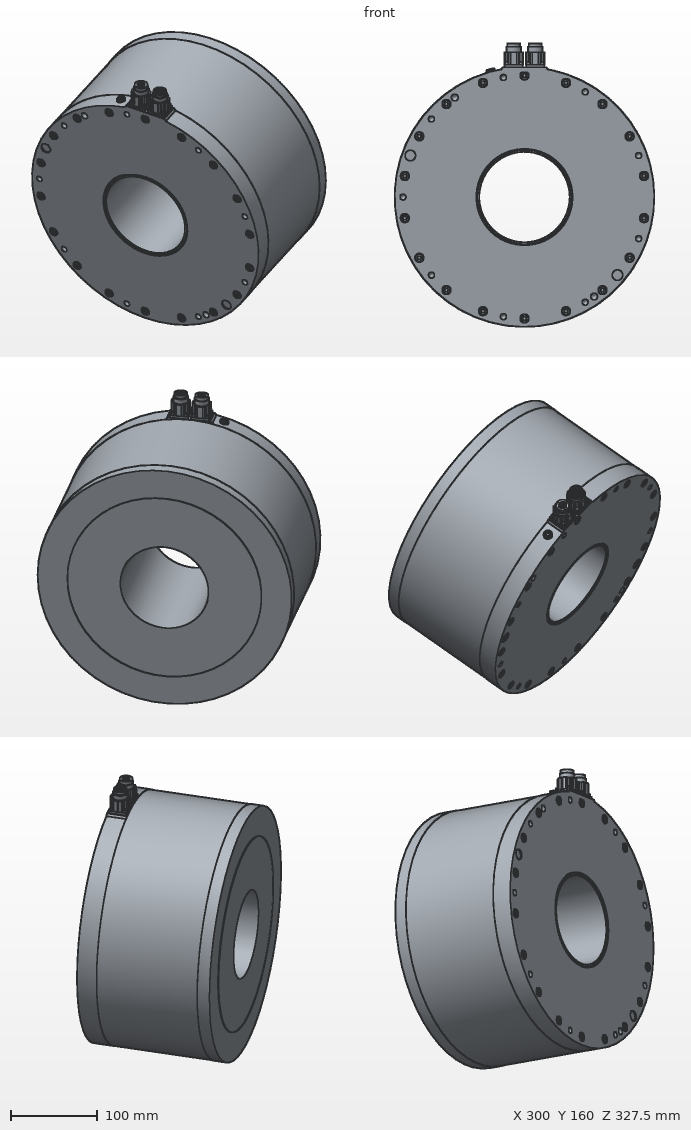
import cadquery as cq
import math

flange_radius = 150.0
body_radius = 149.7
flange_thickness = 23.5
cover_start = 144.5
cover_end = 159.2
total_depth = 160.0
rear_boss_radius = 114.5

bore_radius = 52.0
sleeve_recess_radius = 55.7
sleeve_recess_depth = 2.0
sleeve_radius = 54.5
sleeve_setback = 1.0

bolt_circle_radius = 140.2
screw_count = 18
counterbore_diameter = 10.0
counterbore_depth = 4.0
screw_head_diameter = 8.5
screw_head_setback = 0.5
socket_across_corners = 4.5
socket_depth = 2.3
tapped_count = 9
tapped_first_angle = 20.0
tapped_diameter = 7.0
dowel_angles = (125.0, -55.0)
dowel_diameter = 8.0
drill_depth = 9.8
drill_tip_angle = 118.0
round_recess_angles = (160.0, -40.0)
round_recess_diameter = 12.0
round_recess_depth = 1.5

rim_center_y = 12.5
rim_screw_angle = 105.0
rim_screw_diameter = 10.0
rim_screw_height = 3.0
rim_screw_bevel = 1.0

pad_half_width = 25.0
pad_bevel_width = 2.3
pad_bevel_height = 2.3
pad_root_z = 144.0

connector_offset = 12.5
connector_height = 27.5
base_width = 21.3
base_height = 3.0
nut_height = 17.5
nut_core_diameter = 18.5
nut_width = 22.0
nut_rib_width = 6.5
nut_side_width = 9.5
nut_groove_size = 1.0
nut_shoulder_length = 19.3
nut_shoulder_width = 11.0
corner_screw_diameter = 4.0
corner_screw_spacing = 15.7
corner_screw_height = 6.0
collar_diameter = 17.0
collar_height = 23.3
tip_diameter = 15.0
cavity_depth = 4.0
socket_cavity_diameter = 9.0
plug_cavity_diameter = 13.0
socket_pin_rings = ((4, 4.5),)
socket_pin_diameter = 1.5
plug_pin_rings = ((8, 8.5), (4, 4.0))
plug_pin_diameter = 1.0


def disc(radius, y_start, y_end):
    """Solid cylinder along Y between two depths."""
    return cq.Workplane("XZ", origin=(0, y_start, 0)).circle(radius).extrude(y_start - y_end)


def on_bolt_circle(angles):
    """X and Z of places on the bolt circle, with angles in degrees from +X."""
    return [
        (
            bolt_circle_radius * math.cos(math.radians(angle)),
            bolt_circle_radius * math.sin(math.radians(angle)),
        )
        for angle in angles
    ]


def face_cylinders(angles, diameter, y_start, y_end):
    """Cylinders along Y at the given bolt-circle angles."""
    plane = cq.Workplane("XZ", origin=(0, y_start, 0))
    return plane.pushPoints(on_bolt_circle(angles)).circle(diameter / 2).extrude(y_start - y_end)


def drilled_holes(angles, diameter):
    """Blind holes with a conical drill tip, as a cutting body."""
    radius = diameter / 2
    tip_length = radius / math.tan(math.radians(drill_tip_angle / 2))
    drill = (
        cq.Workplane("XY")
        .polyline([(0, 0), (radius, 0), (radius, drill_depth), (0, drill_depth + tip_length)])
        .close()
        .revolve(360, (0, 0, 0), (0, 1, 0))
    )
    holes = cq.Workplane("XY")
    for x, z in on_bolt_circle(angles):
        holes = holes.add(drill.translate((x, 0, z)))
    return holes.combine()


def make_housing():
    """Drum with front flange, rear cover, rear boss and through bore."""
    housing = (
        disc(flange_radius, 0, flange_thickness)
        .union(disc(body_radius, flange_thickness, cover_start))
        .union(disc(flange_radius, cover_start, cover_end))
        .union(disc(rear_boss_radius, cover_end, total_depth))
    )
    sleeve_end = disc(sleeve_radius, sleeve_setback, sleeve_recess_depth)
    return (
        housing.cut(disc(sleeve_recess_radius, 0, sleeve_recess_depth))
        .union(sleeve_end)
        .cut(disc(bore_radius, 0, total_depth))
    )


def cut_front_face(housing):
    """Add the recessed cap screws, drilled holes and round recesses."""
    screw_angles = [90 + i * 360 / screw_count for i in range(screw_count)]
    tapped_angles = [tapped_first_angle + i * 360 / tapped_count for i in range(tapped_count)]
    heads = face_cylinders(screw_angles, screw_head_diameter, screw_head_setback, counterbore_depth)
    sockets = (
        cq.Workplane("XZ", origin=(0, screw_head_setback, 0))
        .pushPoints(on_bolt_circle(screw_angles))
        .polygon(6, socket_across_corners)
        .extrude(-socket_depth)
    )
    return (
        housing.cut(face_cylinders(screw_angles, counterbore_diameter, 0, counterbore_depth))
        .union(heads)
        .cut(sockets)
        .cut(drilled_holes(tapped_angles, tapped_diameter))
        .cut(drilled_holes(dowel_angles, dowel_diameter))
        .cut(face_cylinders(round_recess_angles, round_recess_diameter, 0, round_recess_depth))
    )


def make_pad():
    """Flat pad with bevelled sides, tangent to the top of the flange."""
    foot_half_width = pad_half_width + pad_bevel_width
    foot_z = flange_radius - pad_bevel_height
    return (
        cq.Workplane("XZ")
        .moveTo(-pad_half_width, flange_radius)
        .lineTo(pad_half_width, flange_radius)
        .lineTo(foot_half_width, foot_z)
        .lineTo(foot_half_width, pad_root_z)
        .lineTo(-foot_half_width, pad_root_z)
        .lineTo(-foot_half_width, foot_z)
        .close()
        .extrude(-flange_thickness)
    )


def make_rim_screw():
    """Bevelled socket screw standing radially on the flange rim."""
    screw = (
        cq.Workplane("XY", origin=(0, 0, flange_radius - rim_screw_height))
        .circle(rim_screw_diameter / 2)
        .extrude(2 * rim_screw_height)
        .faces(">Z")
        .chamfer(rim_screw_bevel)
        .faces(">Z")
        .workplane()
        .polygon(6, socket_across_corners)
        .cutBlind(-socket_depth)
    )
    return screw.translate((0, rim_center_y, 0)).rotate((0, 0, 0), (0, 1, 0), 90 - rim_screw_angle)


def nut_block(x_size, y_size):
    """Box over the height of the connector nut."""
    nut_plane = cq.Workplane("XY", origin=(0, 0, base_height))
    return nut_plane.rect(x_size, y_size).extrude(nut_height - base_height)


def make_nut():
    """Round core with flat stepped ribs along Y and rounded, grooved ribs along X."""
    nut_plane = cq.Workplane("XY", origin=(0, 0, base_height))
    core = nut_plane.circle(nut_core_diameter / 2).extrude(nut_height - base_height)
    envelope = nut_plane.circle(nut_width / 2).extrude(nut_height - base_height)
    side_ribs = nut_block(nut_width, nut_side_width).intersect(envelope)
    groove_x = (nut_width - nut_groove_size) / 2
    for side in (-1, 1):
        groove = nut_block(nut_groove_size, nut_groove_size)
        side_ribs = side_ribs.cut(groove.translate((side * groove_x, 0, 0)))
    return (
        core.union(nut_block(nut_rib_width, nut_width))
        .union(nut_block(nut_shoulder_width, nut_shoulder_length))
        .union(nut_block(nut_shoulder_length, nut_shoulder_width))
        .union(side_ribs)
    )


def make_connector(cavity_diameter, pin_rings, pin_diameter):
    """Panel connector standing on Z = 0, with rings of pins in its open end."""
    base = cq.Workplane("XY").rect(base_width, base_width).extrude(base_height)
    corner_screws = (
        cq.Workplane("XY")
        .rect(corner_screw_spacing, corner_screw_spacing, forConstruction=True)
        .vertices()
        .circle(corner_screw_diameter / 2)
        .extrude(corner_screw_height)
    )
    nut = make_nut()
    collar = cq.Workplane("XY").circle(collar_diameter / 2).extrude(collar_height)
    tip = cq.Workplane("XY").circle(tip_diameter / 2).extrude(connector_height)

    cavity_floor = cq.Workplane("XY", origin=(0, 0, connector_height - cavity_depth))
    cavity = cavity_floor.circle(cavity_diameter / 2).extrude(cavity_depth)
    shell = base.union(corner_screws).union(nut).union(collar).union(tip)
    connector = shell.cut(cavity)
    for pin_count, ring_diameter in pin_rings:
        pins = cavity_floor.polarArray(ring_diameter / 2, 0, 360, pin_count)
        connector = connector.union(pins.circle(pin_diameter / 2).extrude(cavity_depth))
    return connector


socket_connector = make_connector(socket_cavity_diameter, socket_pin_rings, socket_pin_diameter)
plug_connector = make_connector(plug_cavity_diameter, plug_pin_rings, plug_pin_diameter)

result = (
    cut_front_face(make_housing())
    .union(make_pad())
    .union(make_rim_screw())
    .union(socket_connector.translate((-connector_offset, rim_center_y, flange_radius)))
    .union(plug_connector.translate((connector_offset, rim_center_y, flange_radius)))
)